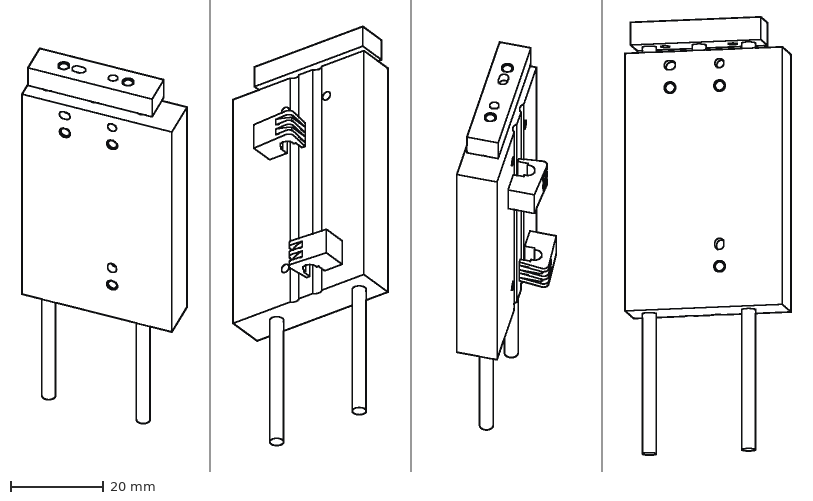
import cadquery as cq

housing_width = 35.0
housing_depth = 9.0
housing_height = 57.0
rod_drop = 31.0
housing_top = rod_drop + housing_height
axis_x = 15.5
axis_y = housing_depth / 2

plate_width = 29.0
plate_depth = 7.0
plate_gap = 2.0
plate_bottom = housing_top + plate_gap
total_height = 95.0
plate_height = total_height - plate_bottom
piston_rod_diameter = 3.0

rod_diameter = 3.0
rod_offset = 11.0

screw_entry_diameter = 2.5
screw_core_diameter = 2.0
screw_entry_depth = 0.3
pin_diameter = 2.0
pin_depth = 2.0

front_hole_offset = 5.5
upper_pin_drop = 3.0
upper_screw_drop = 8.0
lower_pin_drop = 43.0
lower_screw_drop = 48.0
front_slot_length = 2.5

plate_screw_offset = 7.5
plate_pin_offset = 4.0
plate_slot_length = 3.0

holder_reach = 9.7
holder_height = 6.0
holder_outer_rise = 5.9
holder_peak_rise = 6.6
holder_peak_overlap = 0.6
upper_holder_drop = 12.8
lower_holder_lift = 4.7
upper_holder_bottom = housing_top - upper_holder_drop - holder_height
lower_holder_bottom = rod_drop + lower_holder_lift

groove_offset = 3.0
groove_diameter = 3.0
groove_floor_rise = 0.95
groove_roof_rise = 2.8
channel_width = 4.0
channel_rise = 2.3

inner_face_gap = 0.2
finger_corner_radius = 1.1
finger_count = 3
finger_height = 1.0
finger_gap_height = (holder_height - finger_count * finger_height) / (finger_count - 1)
finger_pitch = finger_height + finger_gap_height
ramp_end_reach = 4.75
ramp_start_rise = 4.9
ramp_bulge = 0.2


def screw_hole(plane, length):
    """Tapped hole along the plane's normal, with a shallow wider mouth."""
    core = cq.Workplane(plane).circle(screw_core_diameter / 2).extrude(length)
    mouth = cq.Workplane(plane).circle(screw_entry_diameter / 2).extrude(screw_entry_depth)
    return core.union(mouth)


def front_plane(x, z):
    """Plane on the housing's front face that points into the housing."""
    return cq.Plane(origin=(x, 0, z), xDir=(1, 0, 0), normal=(0, 1, 0))


def plate_plane(x):
    """Plane on the end plate's top face that points down into the plate."""
    return cq.Plane(origin=(x, axis_y, total_height), xDir=(1, 0, 0), normal=(0, 0, -1))


def upright_cylinder(x, y, diameter, bottom, top):
    """Cylinder parallel to Z between two heights."""
    return cq.Workplane("XY", origin=(x, y, bottom)).circle(diameter / 2).extrude(top - bottom)


def groove_cut(x):
    """Round-bottomed groove along Z that opens into the holders through the housing's back face."""
    floor_y = housing_depth + groove_floor_rise
    roof_y = housing_depth + groove_roof_rise
    floor = upright_cylinder(x, floor_y, groove_diameter, rod_drop, housing_top)
    roof = upright_cylinder(x, roof_y, groove_diameter, rod_drop, housing_top)
    channel = cq.Workplane("XY", origin=(x, housing_depth, rod_drop)).box(
        channel_width, channel_rise, housing_height, centered=(True, False, False)
    )
    return floor.union(roof).union(channel)


def make_housing():
    """Block with front screw and locating holes, guide rod bores and rear grooves."""
    body = cq.Workplane("XY", origin=(0, 0, rod_drop)).box(
        housing_width, housing_depth, housing_height, centered=False
    )
    left = axis_x - front_hole_offset
    right = axis_x + front_hole_offset
    for x, drop in ((left, upper_screw_drop), (right, upper_screw_drop), (right, lower_screw_drop)):
        body = body.cut(screw_hole(front_plane(x, housing_top - drop), housing_depth))

    pin = cq.Workplane(front_plane(right, housing_top - upper_pin_drop)).circle(pin_diameter / 2)
    body = body.cut(pin.extrude(pin_depth))
    for x, drop, angle in ((left, upper_pin_drop, 0), (right, lower_pin_drop, 90)):
        slot = cq.Workplane(front_plane(x, housing_top - drop))
        body = body.cut(slot.slot2D(front_slot_length, pin_diameter, angle).extrude(pin_depth))

    for side in (-1, 1):
        body = body.cut(groove_cut(axis_x + side * groove_offset))
        body = body.cut(
            upright_cylinder(axis_x + side * rod_offset, axis_y, rod_diameter, rod_drop, housing_top)
        )
    return body


def make_end_plate():
    """End plate with the piston rod, which ends on the housing's top face."""
    plate = cq.Workplane("XY", origin=(axis_x, axis_y, plate_bottom)).box(
        plate_width, plate_depth, plate_height, centered=(True, True, False)
    )
    for side in (-1, 1):
        plate = plate.cut(screw_hole(plate_plane(axis_x + side * plate_screw_offset), plate_height))
    pin = cq.Workplane(plate_plane(axis_x + plate_pin_offset)).circle(pin_diameter / 2)
    slot = cq.Workplane(plate_plane(axis_x - plate_pin_offset)).slot2D(plate_slot_length, pin_diameter)
    plate = plate.cut(pin.extrude(pin_depth)).cut(slot.extrude(pin_depth))
    return plate.union(
        upright_cylinder(axis_x, axis_y, piston_rod_diameter, housing_top, plate_bottom)
    )


def make_guide_rod(side):
    """Rod that passes through the housing and ends on the end plate's underside."""
    return upright_cylinder(axis_x + side * rod_offset, axis_y, rod_diameter, 0, plate_bottom)


def on_side(side, *points):
    """Turn (distance from the axis, rise above the housing) pairs into X, Y points."""
    return [(axis_x + side * reach, housing_depth + rise) for reach, rise in points]


def finger_gap(side, bottom):
    """Space between two fingers: upright beside the inner wall, then a bulging ramp up to the top."""
    clear_reach = -2 * holder_peak_overlap
    ramp_middle = ramp_end_reach / 2
    ramp_middle_rise = (ramp_start_rise + holder_peak_rise) / 2 + ramp_bulge
    corner, wall_base, wall_top, middle, ramp_end, above_wall = on_side(
        side,
        (clear_reach, 0),
        (inner_face_gap, 0),
        (inner_face_gap, ramp_start_rise),
        (ramp_middle, ramp_middle_rise),
        (ramp_end_reach, holder_peak_rise),
        (clear_reach, holder_peak_rise),
    )
    return (
        cq.Workplane("XY", origin=(0, 0, bottom))
        .moveTo(*corner)
        .lineTo(*wall_base)
        .lineTo(*wall_top)
        .threePointArc(middle, ramp_end)
        .lineTo(*above_wall)
        .close()
        .extrude(finger_gap_height)
    )


def make_sensor_holder(side, bottom):
    """Holder on one side of the cylinder axis, with leaning fingers along its inner wall."""
    outline = on_side(
        side,
        (inner_face_gap, 0),
        (holder_reach, 0),
        (holder_reach, holder_outer_rise),
        (-holder_peak_overlap, holder_peak_rise),
    )
    body = cq.Workplane("XY", origin=(0, 0, bottom)).polyline(outline).close().extrude(holder_height)
    finger_tip = (*outline[-1], bottom + holder_height / 2)
    body = body.edges(cq.selectors.NearestToPointSelector(finger_tip)).fillet(finger_corner_radius)
    body = body.cut(groove_cut(axis_x + side * groove_offset))
    for index in range(finger_count - 1):
        body = body.cut(finger_gap(side, bottom + finger_height + index * finger_pitch))
    return body


result = cq.Compound.makeCompound(
    [
        make_housing().val(),
        make_end_plate().val(),
        *[make_guide_rod(side).val() for side in (-1, 1)],
        make_sensor_holder(1, upper_holder_bottom).val(),
        make_sensor_holder(-1, lower_holder_bottom).val(),
    ]
)